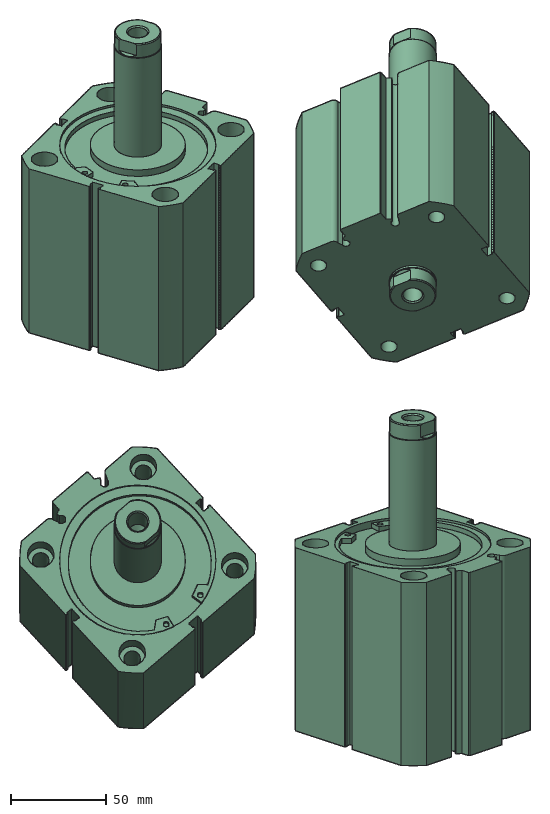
import cadquery as cq
import math

BODY_WIDTH = 96.5
HALF_WIDTH = BODY_WIDTH / 2
BODY_HEIGHT = 102.0
CORNER_RADIUS = 61.9

RAIL_WIDTH = 25.0
RAIL_HEIGHT = 5.5
RAIL_CHAMFER = 0.5

RELIEF_RADIUS = 2.2
RELIEF_X = 15.1
RELIEF_Y = 43.1
RELIEF_NECK_ANGLE = 105.0
RELIEF_HOOK_DROP = 1.5
RELIEF_LIP_RADIUS = 2.7
RELIEF_LIP_X = 21.1

BOLT_OFFSET = 36.0
BOLT_HOLE_DIAMETER = 8.5
COUNTERBORE_DIAMETER = 13.8
COUNTERBORE_DEPTH = 11.0

SLOT_DEPTH = 4.5
SLOT_WIDTH = 6.2
SLOT_MOUTH_WIDTH = 5.0
SLOT_LIP = 1.5
SLOT_MOUTH_CHAMFER = 0.4

BORE_RADIUS = 41.0

RING_RECESS = 1.3
RING_THICKNESS = 2.7
RING_INNER_RADIUS = 37.5
RING_INNER_Y = -1.6
LUG_OUTER_CORNER = (18.5, -33.9)
LUG_PEAK = (14.5, -30.5)
LUG_INNER_CORNER = (8.5, -33.3)
LUG_END = (10.2, -41.9)
LUG_HOLE_DIAMETER = 3.0
LUG_HOLE_X = 12.0
LUG_HOLE_Y = -35.9

COVER_THICKNESS = 18.2
BOSS_RADIUS = 25.0

ROD_RADIUS = 12.47
ROD_ABOVE = 70.0
ROD_BELOW = 10.0
TIP_RADIUS = 12.2
TIP_LENGTH = 8.4
TIP_CHAMFER = 0.5
FLAT_OFFSET = 11.01
FLAT_LENGTH = 7.1
END_HOLE_RADIUS = 5.1
END_HOLE_CHAMFER = 0.7
END_HOLE_DEPTH = 21.8
DRILL_POINT_ANGLE = 118.0

RING_TOP = BODY_HEIGHT - RING_RECESS
RING_BOTTOM = RING_TOP - RING_THICKNESS
COVER_BOTTOM = RING_BOTTOM - COVER_THICKNESS
ROD_TOP = BODY_HEIGHT + ROD_ABOVE
ROD_BOTTOM = -ROD_BELOW


def cylinder(radius, bottom, top):
    """Upright cylinder on the rod axis between two heights."""
    return cq.Workplane("XY").workplane(offset=bottom).circle(radius).extrude(top - bottom)


def rail():
    """Raised rail on the +Y face, starting at the rod axis so that it joins the section."""
    return (
        cq.Workplane("XY")
        .rect(RAIL_WIDTH, HALF_WIDTH + RAIL_HEIGHT, centered=(True, False))
        .extrude(BODY_HEIGHT)
        .edges("|Z and >Y")
        .chamfer(RAIL_CHAMFER)
    )


def rail_relief():
    """Full-height undercut groove on the +X side of the rail."""
    diagonal = math.sqrt(0.5)
    neck = math.radians(RELIEF_NECK_ANGLE)
    lip_y = HALF_WIDTH - RELIEF_LIP_RADIUS
    return (
        cq.Workplane("XY")
        .moveTo(RAIL_WIDTH / 2, HALF_WIDTH)
        .lineTo(RELIEF_X, HALF_WIDTH - RELIEF_HOOK_DROP)
        .lineTo(RELIEF_X + RELIEF_RADIUS * math.cos(neck), RELIEF_Y + RELIEF_RADIUS * math.sin(neck))
        .threePointArc(
            (RELIEF_X - RELIEF_RADIUS * diagonal, RELIEF_Y - RELIEF_RADIUS * diagonal),
            (RELIEF_X + RELIEF_RADIUS, RELIEF_Y),
        )
        .lineTo(RELIEF_LIP_X - RELIEF_LIP_RADIUS, lip_y)
        .threePointArc(
            (RELIEF_LIP_X - RELIEF_LIP_RADIUS * diagonal, lip_y + RELIEF_LIP_RADIUS * diagonal),
            (RELIEF_LIP_X, HALF_WIDTH),
        )
        .close()
        .extrude(BODY_HEIGHT)
    )


def t_slot():
    """Full-height T-slot in the -Y face."""
    face = -HALF_WIDTH
    neck = SLOT_MOUTH_WIDTH / 2
    mouth = neck + SLOT_MOUTH_CHAMFER
    inner_depth = SLOT_DEPTH - SLOT_LIP
    inner = (
        cq.Workplane("XY")
        .center(0, face + SLOT_LIP + inner_depth / 2)
        .rect(SLOT_WIDTH, inner_depth)
        .extrude(BODY_HEIGHT)
    )
    opening = (
        cq.Workplane("XY")
        .polyline([
            (-mouth, face), (mouth, face), (neck, face + SLOT_MOUTH_CHAMFER), (neck, face + SLOT_DEPTH),
            (-neck, face + SLOT_DEPTH), (-neck, face + SLOT_MOUTH_CHAMFER),
        ])
        .close()
        .extrude(BODY_HEIGHT)
    )
    return inner.union(opening)


def make_housing():
    body = cq.Workplane("XY").rect(BODY_WIDTH, BODY_WIDTH).extrude(BODY_HEIGHT)
    body = body.intersect(cylinder(CORNER_RADIUS, 0, BODY_HEIGHT))
    body = body.union(rail())

    relief = rail_relief()
    body = body.cut(relief).cut(relief.mirror("YZ"))

    for angle in (-90, 0, 90):
        body = body.cut(t_slot().rotate((0, 0, 0), (0, 0, 1), angle))

    body = (
        body.faces(">Z")
        .workplane(origin=(0, 0, BODY_HEIGHT))
        .rect(2 * BOLT_OFFSET, 2 * BOLT_OFFSET, forConstruction=True)
        .vertices()
        .cboreHole(BOLT_HOLE_DIAMETER, COUNTERBORE_DIAMETER, COUNTERBORE_DEPTH)
    )
    body = body.cut(cylinder(BORE_RADIUS, COVER_BOTTOM, BODY_HEIGHT))
    return body.cut(cylinder(ROD_RADIUS, 0, BODY_HEIGHT))


def make_cover():
    """Round cover with a central boss, bored for the rod."""
    plate = cylinder(BORE_RADIUS, COVER_BOTTOM, RING_BOTTOM)
    boss = cylinder(BOSS_RADIUS, COVER_BOTTOM, BODY_HEIGHT)
    return plate.union(boss).cut(cylinder(ROD_RADIUS, COVER_BOTTOM, BODY_HEIGHT))


def ring_lug():
    """Lug at the +X end of the snap ring, before its hole."""
    return (
        cq.Workplane("XY").workplane(offset=RING_BOTTOM)
        .polyline([LUG_OUTER_CORNER, LUG_PEAK, LUG_INNER_CORNER, LUG_END, (LUG_OUTER_CORNER[0], LUG_END[1])])
        .close()
        .extrude(RING_THICKNESS)
    )


def make_snap_ring():
    """Tapered open ring with a drilled lug at each end."""
    disc = cylinder(BORE_RADIUS, RING_BOTTOM, RING_TOP)
    opening = cylinder(RING_INNER_RADIUS, RING_BOTTOM, RING_TOP).translate((0, RING_INNER_Y, 0))
    gap = (
        cq.Workplane("XY").workplane(offset=RING_BOTTOM)
        .center(0, -BORE_RADIUS)
        .rect(2 * LUG_END[0], BORE_RADIUS)
        .extrude(RING_THICKNESS)
    )
    lug = ring_lug()
    lugs = lug.union(lug.mirror("YZ")).intersect(disc)
    holes = (
        cq.Workplane("XY").workplane(offset=RING_BOTTOM)
        .pushPoints([(-LUG_HOLE_X, LUG_HOLE_Y), (LUG_HOLE_X, LUG_HOLE_Y)])
        .circle(LUG_HOLE_DIAMETER / 2)
        .extrude(RING_THICKNESS)
    )
    return disc.cut(opening).cut(gap).union(lugs).cut(holes)


def wrench_flat(end):
    """Cutter for the +Y flat at the upper end of the rod; it runs out in a 45 degree ramp."""
    flat_end = end - FLAT_LENGTH
    run_out = ROD_RADIUS - FLAT_OFFSET
    return (
        cq.Workplane("YZ")
        .polyline([
            (FLAT_OFFSET, end), (FLAT_OFFSET, flat_end),
            (ROD_RADIUS, flat_end - run_out), (ROD_RADIUS, end),
        ])
        .close()
        .extrude(ROD_RADIUS, both=True)
    )


def end_hole(end):
    """Cutter for the chamfered blind hole with a drill point at the upper end of the rod."""
    hole_bottom = end - END_HOLE_DEPTH
    point = END_HOLE_RADIUS / math.tan(math.radians(DRILL_POINT_ANGLE / 2))
    return (
        cq.Workplane("XZ")
        .polyline([
            (0, end), (END_HOLE_RADIUS + END_HOLE_CHAMFER, end), (END_HOLE_RADIUS, end - END_HOLE_CHAMFER),
            (END_HOLE_RADIUS, hole_bottom), (0, hole_bottom - point),
        ])
        .close()
        .revolve(360, (0, 0, 0), (0, 1, 0))
    )


def make_rod():
    """Through rod whose two ends are alike."""
    middle = (ROD_TOP + ROD_BOTTOM) / 2
    shoulder = ROD_TOP - TIP_LENGTH
    shaft = cylinder(ROD_RADIUS, middle, shoulder).faces(">Z").chamfer(ROD_RADIUS - TIP_RADIUS)
    tip = cylinder(TIP_RADIUS, middle, ROD_TOP).faces(">Z").chamfer(TIP_CHAMFER)
    flat = wrench_flat(ROD_TOP)
    half = shaft.union(tip).cut(flat).cut(flat.mirror("XZ")).cut(end_hole(ROD_TOP))
    return half.union(half.mirror("XY", (0, 0, middle)))


housing = make_housing()
cover = make_cover()
snap_ring = make_snap_ring()
rod = make_rod()

bodies = [housing, cover, snap_ring, rod]
result = cq.Compound.makeCompound([body.solids().val() for body in bodies])